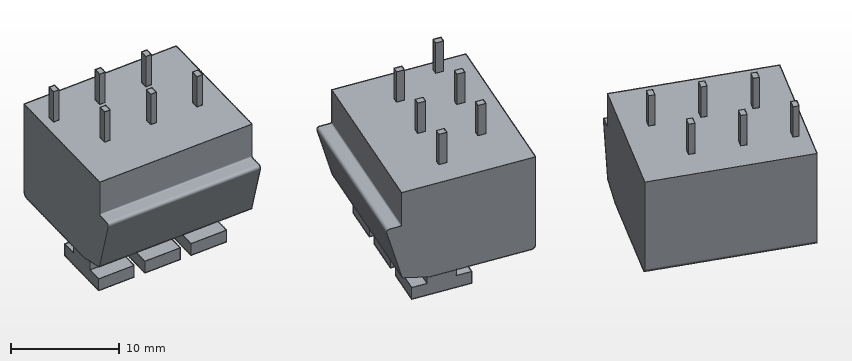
import cadquery as cq
import math

housing_length = 16.5
housing_height = 10.9
top_width = 13.5
overall_width = 15.0
ledge_height = 6.95
slope_angle = 15.0
ramp_start = 10.65
heel_radius = 0.5
nose_radius = 0.3
ledge_radius = 0.15
ramp_corner_radius = 0.2

pole_count = 3
pole_pitch = 5.0

pin_width = 0.8
pin_depth = 0.6
pin_height = 3.6
pin_first_y = 1.25
pin_stagger = pole_pitch / 2
pin_rows = ((3.3, pin_first_y), (8.3, pin_first_y + pin_stagger))

lever_center_x = 8.73
lever_first_y = 2.87
lever_depth = 3.85
lever_drop = 3.6
lever_foot_width = 6.05
lever_foot_height = 1.4
lever_stem_width = 2.95


def box_on(center_x, center_y, bottom_z, width, depth, height):
    """Box centred in X and Y, standing on bottom_z."""
    box = cq.Workplane("XY").box(width, depth, height, centered=(True, True, False))
    return box.translate((center_x, center_y, bottom_z))


def make_housing():
    slope = math.tan(math.radians(slope_angle))
    half_tip_angle = math.radians((90 - slope_angle) / 2)
    tip_x = overall_width - nose_radius + nose_radius / math.tan(half_tip_angle)
    corner_x = (tip_x - slope * ledge_height - slope**2 * ramp_start) / (1 - slope**2)
    corner_z = slope * (corner_x - ramp_start)

    profile = [
        (0, 0),
        (ramp_start, 0),
        (corner_x, corner_z),
        (tip_x, ledge_height),
        (top_width, ledge_height),
        (top_width, housing_height),
        (0, housing_height),
    ]
    housing = cq.Workplane("XZ").polyline(profile).close().extrude(-housing_length)

    rounded_corners = (
        ((0, 0), heel_radius),
        ((corner_x, corner_z), ramp_corner_radius),
        ((tip_x, ledge_height), nose_radius),
        ((top_width, ledge_height), ledge_radius),
    )
    for (x, z), radius in rounded_corners:
        edge = cq.selectors.NearestToPointSelector((x, housing_length / 2, z))
        housing = housing.edges("|Y").edges(edge).fillet(radius)
    return housing


def add_pins(body):
    for row_x, first_y in pin_rows:
        for pole in range(pole_count):
            pin_y = first_y + pole * pole_pitch
            pin = box_on(row_x, pin_y, housing_height, pin_width, pin_depth, pin_height)
            body = body.union(pin)
    return body


def add_levers(body):
    for pole in range(pole_count):
        lever_y = lever_first_y + pole * pole_pitch
        stem = box_on(lever_center_x, lever_y, -lever_drop, lever_stem_width, lever_depth, lever_drop)
        foot = box_on(lever_center_x, lever_y, -lever_drop, lever_foot_width, lever_depth, lever_foot_height)
        body = body.union(stem.union(foot))
    return body


result = add_levers(add_pins(make_housing()))